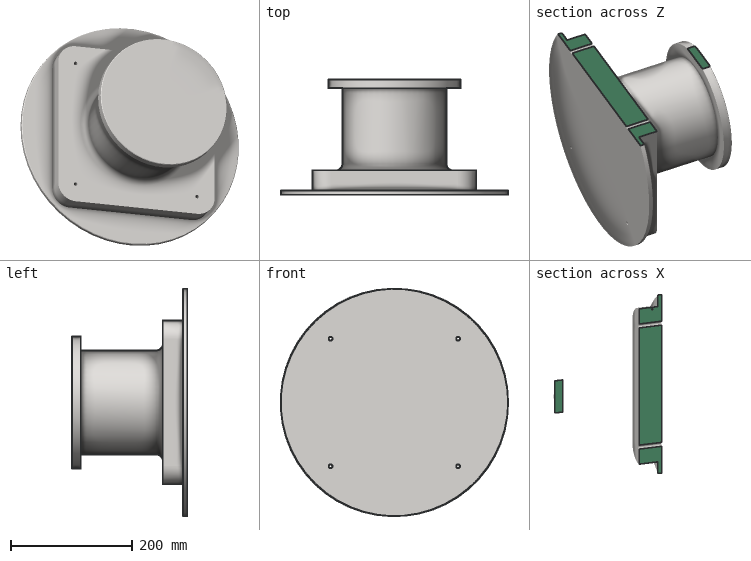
import cadquery as cq

disc_diameter = 375.0
disc_thickness = 7.5

rim_chamfer = 1.0

base_side = 270.0
base_thickness = 33.0
base_corner_radius = 30.0

neck_diameter = 172.0
neck_fillet_radius = 10.0

flange_diameter = 218.0
flange_thickness = 15.0

overall_length = 190.5

hole_diameter = 6.0
hole_spacing = base_side - 2 * base_corner_radius

base_end = disc_thickness + base_thickness
flange_start = overall_length - flange_thickness


def plane_at(y):
    """Workplane at station y whose normal points along +Y."""
    return cq.Workplane("XZ", origin=(0, y, 0)).transformed(rotate=(180, 0, 0))


def make_round_plate(diameter, start, end):
    """Round plate on the Y axis between two stations, its rear (+Y) rim chamfered."""
    plate = plane_at(start).circle(diameter / 2).extrude(end - start)
    return plate.faces(">Y").edges().chamfer(rim_chamfer)


def make_base():
    """Square plate with its four corners rounded."""
    plate = plane_at(disc_thickness).rect(base_side, base_side).extrude(base_thickness)
    return plate.edges("|Y").fillet(base_corner_radius)


def make_neck():
    """Neck with a concave fillet flaring out onto the base plate."""
    neck_radius = neck_diameter / 2
    return (
        cq.Workplane("XY")
        .moveTo(0, base_end)
        .lineTo(neck_radius + neck_fillet_radius, base_end)
        .radiusArc((neck_radius, base_end + neck_fillet_radius), neck_fillet_radius)
        .lineTo(neck_radius, flange_start)
        .lineTo(0, flange_start)
        .close()
        .revolve(360, (0, 0, 0), (0, 1, 0))
    )


def make_holes():
    """Four screw holes through the disc and the base plate."""
    return (
        plane_at(0)
        .rect(hole_spacing, hole_spacing, forConstruction=True)
        .vertices()
        .circle(hole_diameter / 2)
        .extrude(base_end)
    )


disc = make_round_plate(disc_diameter, 0, disc_thickness)
flange = make_round_plate(flange_diameter, flange_start, overall_length)

result = disc.union(make_base()).union(make_neck()).union(flange).cut(make_holes())